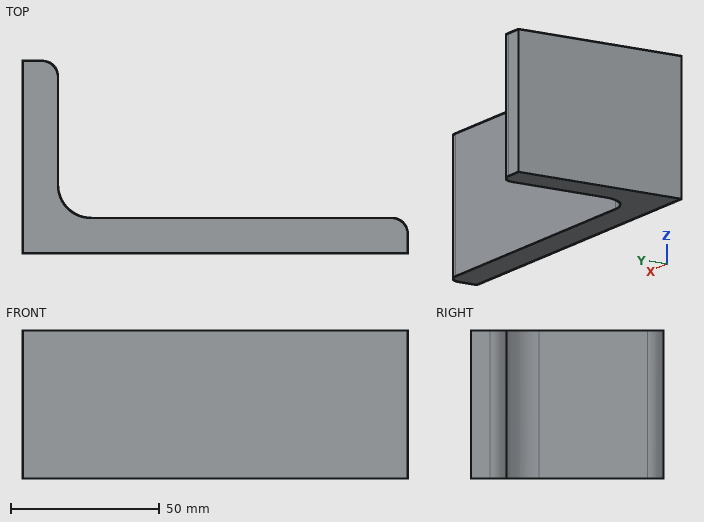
import cadquery as cq

long_leg = 130.0
short_leg = 65.0
thickness = 12.0
length = 50.0
root_radius = 11.0
toe_radius = root_radius / 2


def angle_blank():
    """Sharp-cornered L with its heel on the Z axis."""
    outline = [
        (0, 0),
        (long_leg, 0),
        (long_leg, thickness),
        (thickness, thickness),
        (thickness, short_leg),
        (0, short_leg),
    ]
    return cq.Workplane("XY").polyline(outline).close().extrude(length)


def round_edge(body, x, y, radius):
    """Fillet the lengthwise edge that passes through (x, y)."""
    edge = cq.selectors.NearestToPointSelector((x, y, length / 2))
    return body.edges("|Z").edges(edge).fillet(radius)


result = angle_blank()
result = round_edge(result, thickness, thickness, root_radius)
result = round_edge(result, long_leg, thickness, toe_radius)
result = round_edge(result, thickness, short_leg, toe_radius)